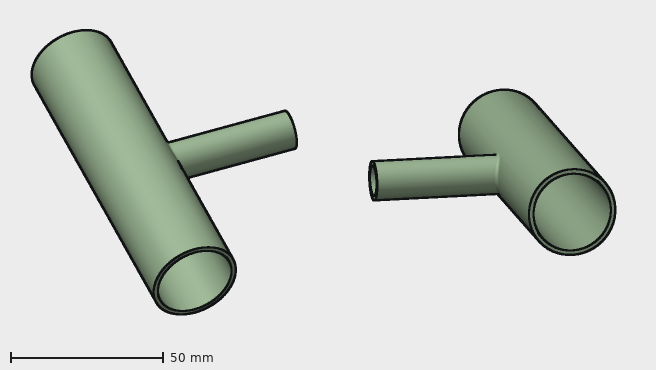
import cadquery as cq

tube_length = 110.0
tube_outer_diameter = 29.0
tube_bore_diameter = 26.0

branch_reach = tube_length / 2
branch_outer_diameter = 13.0
branch_bore_diameter = 10.0

seam_radius = 1.0


def main_cylinder(diameter):
    """Cylinder along X, centred on the origin."""
    return cq.Workplane("YZ").circle(diameter / 2).extrude(tube_length / 2, both=True)


def branch_cylinder(diameter):
    """Cylinder from the main axis to the open end of the branch."""
    return cq.Workplane("XZ").circle(diameter / 2).extrude(-branch_reach)


def seam_edges(body):
    """The saddle-shaped edge between the two tubes, neither straight nor circular."""
    return body.edges("not (%LINE or %CIRCLE)")


outer_body = main_cylinder(tube_outer_diameter).union(branch_cylinder(branch_outer_diameter))
outer_body = seam_edges(outer_body).fillet(seam_radius)

result = outer_body.cut(main_cylinder(tube_bore_diameter)).cut(branch_cylinder(branch_bore_diameter))